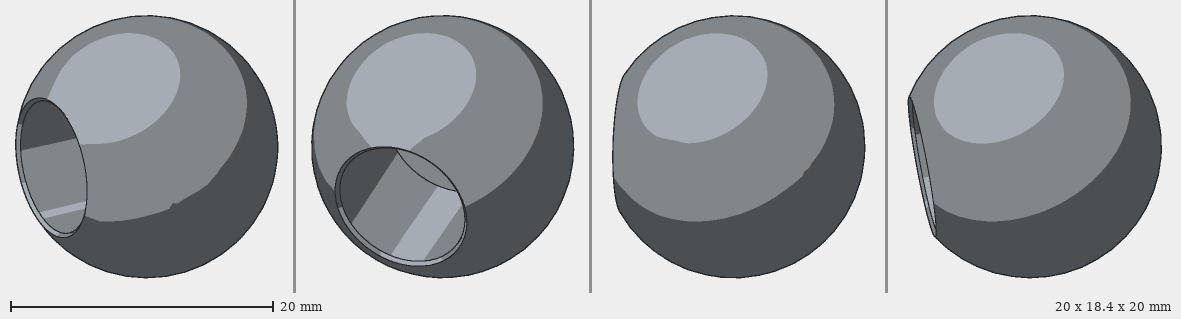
import cadquery as cq
import math

ball_diameter = 20.0
rim_distance = 8.4
socket_diameter = 10.3
socket_depth = 10.0

ball_radius = ball_diameter / 2
socket_radius = socket_diameter / 2

rim_radius = math.sqrt(ball_radius**2 - rim_distance**2)
countersink_width = rim_radius - socket_radius

rim_y = -rim_distance
bottom_y = rim_y + socket_depth


def make_half_section():
    """Closed half section of the ball with its socket, on the +X side of the Y axis."""
    return (
        cq.Workplane("XY")
        .moveTo(0, bottom_y)
        .lineTo(socket_radius, bottom_y)
        .lineTo(socket_radius, rim_y + countersink_width)
        .lineTo(rim_radius, rim_y)
        .threePointArc((ball_radius, 0), (0, ball_radius))
        .close()
    )


result = make_half_section().revolve(360, (0, 0, 0), (0, 1, 0))